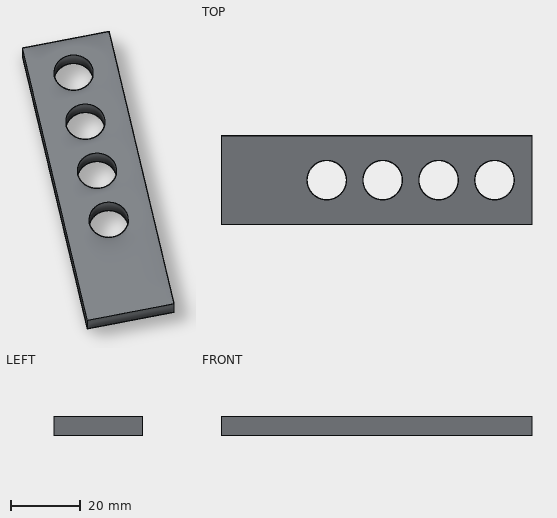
import cadquery as cq

length = 88.9
width = 25.4
thickness = 5.5

hole_diameter = 11.2
hole_count = 4
hole_pitch = 16.0
end_margin = 10.8

last_hole_x = length / 2 - end_margin
hole_centres = [(last_hole_x - i * hole_pitch, 0) for i in range(hole_count)]

plate = cq.Workplane("XY").box(length, width, thickness)
result = plate.faces(">Z").workplane().pushPoints(hole_centres).hole(hole_diameter)